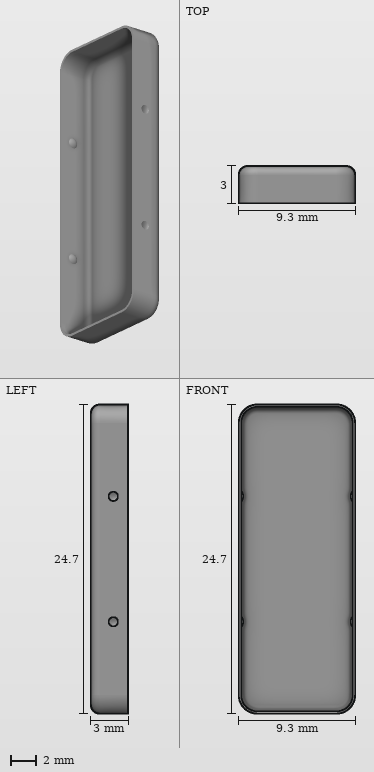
import cadquery as cq
import math

width = 9.3
depth = 3.0
height = 24.7
corner_radius = 1.5
back_edge_radius = 0.75

wall = 0.2
floor_thickness = wall
floor_edge_radius = 0.5

dimple_radius = 0.37
dimple_depth = 0.15
bump_radius = 0.42
bump_height = 0.17
dimple_spacing = 10.0
dimple_from_open_face = 1.19

open_face_y = -depth / 2
back_face_y = depth / 2


def rounded_tray(size_x, size_z, end_y, corner, edge):
    """Rounded block from the open face to end_y, with its far edge rounded."""
    return (
        cq.Workplane("XZ", origin=(0, open_face_y, 0))
        .rect(size_x, size_z)
        .extrude(open_face_y - end_y)
        .edges("|Y")
        .fillet(corner)
        .faces(">Y")
        .edges()
        .fillet(edge)
    )


def spherical_cap(base_x, z, direction, radius, rise):
    """Dome standing on the plane x = base_x and bulging along direction (+1 or -1)."""
    sphere_radius = (radius**2 + rise**2) / (2 * rise)
    center_x = rise - sphere_radius
    half_angle = math.asin(radius / sphere_radius) / 2
    arc_middle = (
        direction * (center_x + sphere_radius * math.cos(half_angle)),
        sphere_radius * math.sin(half_angle),
    )
    y = open_face_y + dimple_from_open_face
    return (
        cq.Workplane("XY", origin=(base_x, y, z))
        .lineTo(0, radius)
        .threePointArc(arc_middle, (direction * rise, 0))
        .close()
        .revolve(360, (0, 0, 0), (1, 0, 0))
    )


outer = rounded_tray(width, height, back_face_y, corner_radius, back_edge_radius)
cavity = rounded_tray(
    width - 2 * wall,
    height - 2 * wall,
    back_face_y - floor_thickness,
    corner_radius - wall,
    floor_edge_radius,
)
result = outer.cut(cavity)

for side in (-1, 1):
    outer_x = side * width / 2
    inner_x = outer_x - side * wall
    for z in (-dimple_spacing / 2, dimple_spacing / 2):
        result = result.union(spherical_cap(inner_x, z, -side, bump_radius, bump_height))
        result = result.cut(spherical_cap(outer_x, z, -side, dimple_radius, dimple_depth))